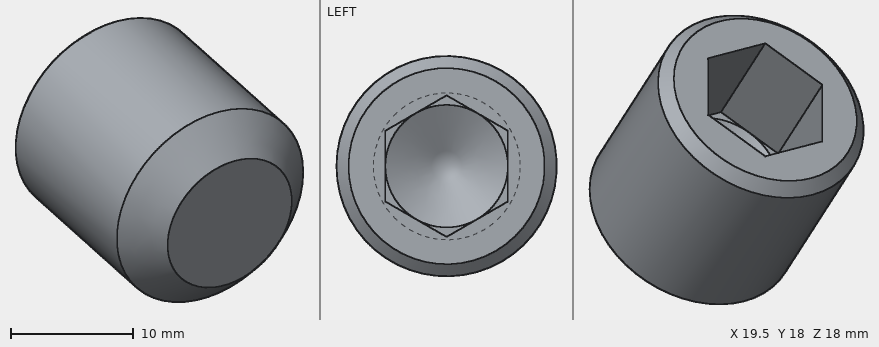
import cadquery as cq
import math

length = 19.5
diameter = 18.0
socket_chamfer = 1.0
point_chamfer = 3.0

across_flats = 10.0
socket_depth = 10.0
drill_point_angle = 120.0

radius = diameter / 2
socket_radius = across_flats / 2
across_corners = across_flats / math.cos(math.radians(30))
drill_point_depth = socket_radius / math.tan(math.radians(drill_point_angle / 2))


def make_body():
    """Cylinder with a 45 degree chamfer at each end."""
    body = cq.Workplane("YZ").circle(radius).extrude(length)
    body = body.faces("<X").chamfer(socket_chamfer)
    return body.faces(">X").chamfer(point_chamfer)


def make_socket():
    """Hexagonal prism, corners toward +Z and -Z, ending in a cone."""
    hexagon = (
        cq.Workplane("YZ")
        .transformed(rotate=(0, 0, 90))
        .polygon(6, across_corners)
        .extrude(socket_depth)
    )
    cone = cq.Solid.makeCone(
        socket_radius,
        0,
        drill_point_depth,
        pnt=cq.Vector(socket_depth, 0, 0),
        dir=cq.Vector(1, 0, 0),
    )
    return hexagon.union(cq.Workplane(cone))


result = make_body().cut(make_socket())